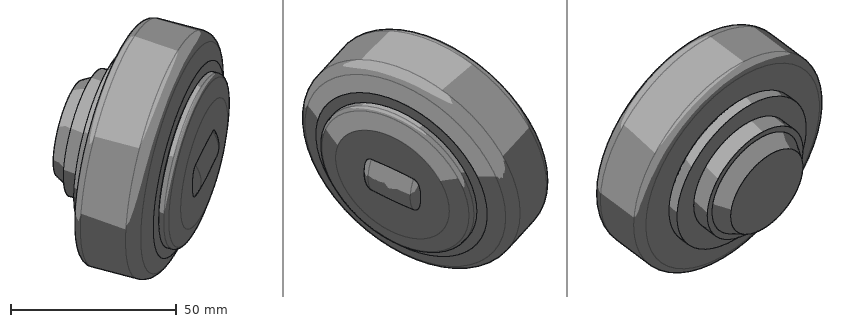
import cadquery as cq
import math

overall_length = 45.0

nose_face_radius = 15.1
nose_base_radius = 18.0
nose_end = 5.1
collar_radius = 20.0
collar_end = 11.0

flange_radius = 27.0
flange_end = 14.5

core_radius = 26.1

roller_radius = 38.85
roller_start = 14.9
roller_end = 38.0
roller_rear_round = 2.6
roller_front_round = 4.2
roller_front_rim_radius = 30.9
roller_front_slope = math.radians(68.5)

cover_radius = 27.5
cover_start = 38.5
cover_end = 43.0
cover_round = 1.3
cover_rim_radius = 20.5
cover_slope = math.radians(75.0)

bump_height = overall_length - cover_end
bump_half_width = 6.9
bump_half_length = 10.2
bump_crown_half = 7.6
bump_crown_drop = 0.15
bump_embed = 1.0


def turned(profile):
    """Revolve an (x, radius) profile about the X axis."""
    return profile.close().revolve(360, (0, 0, 0), (1, 0, 0))


def disc(start, end, radius):
    return cq.Workplane("YZ").workplane(offset=start).circle(radius).extrude(end - start)


def make_stub():
    nose = turned(
        cq.Workplane("XY")
        .lineTo(0, nose_face_radius)
        .lineTo(nose_end, nose_base_radius)
        .lineTo(nose_end, 0)
    )
    collar = disc(nose_end, collar_end, collar_radius)
    flange = disc(collar_end, flange_end, flange_radius)
    return nose.union(collar).union(flange)


def coned_disc(start, end, radius, rim_radius, slope, front_round, rear_round=0.0):
    """Disc with a coned front; slope is the cone's angle from the X axis.

    The front round is tangent to both the outer cylinder and the cone.
    """
    cone_start_x = end - (radius - rim_radius) / math.tan(slope)
    tangent_length = front_round * math.tan(slope / 2)
    round_start_x = cone_start_x - tangent_length
    round_center_radius = radius - front_round

    def on_round(angle):
        x = round_start_x + front_round * math.sin(angle)
        return (x, round_center_radius + front_round * math.cos(angle))

    profile = cq.Workplane("XY").moveTo(start, 0).lineTo(start, radius - rear_round)
    if rear_round > 0:
        rear_diagonal = rear_round * (1 - math.sqrt(0.5))
        profile = profile.threePointArc(
            (start + rear_diagonal, radius - rear_diagonal), (start + rear_round, radius)
        )
    profile = (
        profile.lineTo(round_start_x, radius)
        .threePointArc(on_round(slope / 2), on_round(slope))
        .lineTo(end, rim_radius)
        .lineTo(end, 0)
    )
    return turned(profile)


def make_roller():
    return coned_disc(
        roller_start,
        roller_end,
        roller_radius,
        roller_front_rim_radius,
        roller_front_slope,
        roller_front_round,
        roller_rear_round,
    )


def make_cover():
    return coned_disc(
        cover_start, cover_end, cover_radius, cover_rim_radius, cover_slope, cover_round
    )


def make_bump():
    """Crowned barrel about a Y-parallel axis, kept only where it rises from the cover."""
    barrel_radius = (bump_half_width**2 + bump_height**2) / (2 * bump_height)
    axis_x = overall_length - barrel_radius
    crown_edge_x = overall_length - bump_crown_drop
    crown_edge_tilt = 2 * math.atan(bump_crown_drop / bump_crown_half)
    end_run = bump_half_length - bump_crown_half
    end_drop = crown_edge_x - cover_end
    drop_from_tangent = end_drop * math.cos(crown_edge_tilt) - end_run * math.sin(crown_edge_tilt)
    end_round = (end_run**2 + end_drop**2) / (2 * drop_from_tangent)
    barrel = (
        cq.Workplane("XY")
        .moveTo(axis_x, -bump_half_length)
        .lineTo(cover_end, -bump_half_length)
        .radiusArc((crown_edge_x, -bump_crown_half), -end_round)
        .threePointArc((overall_length, 0), (crown_edge_x, bump_crown_half))
        .radiusArc((cover_end, bump_half_length), -end_round)
        .lineTo(axis_x, bump_half_length)
        .close()
        .revolve(360, (axis_x, 0, 0), (axis_x, 1, 0))
    )
    keep = disc(cover_end - bump_embed, overall_length + bump_embed, cover_rim_radius)
    return barrel.intersect(keep)


core = disc(flange_end, cover_start, core_radius)
result = make_stub().union(core).union(make_roller()).union(make_cover()).union(make_bump())